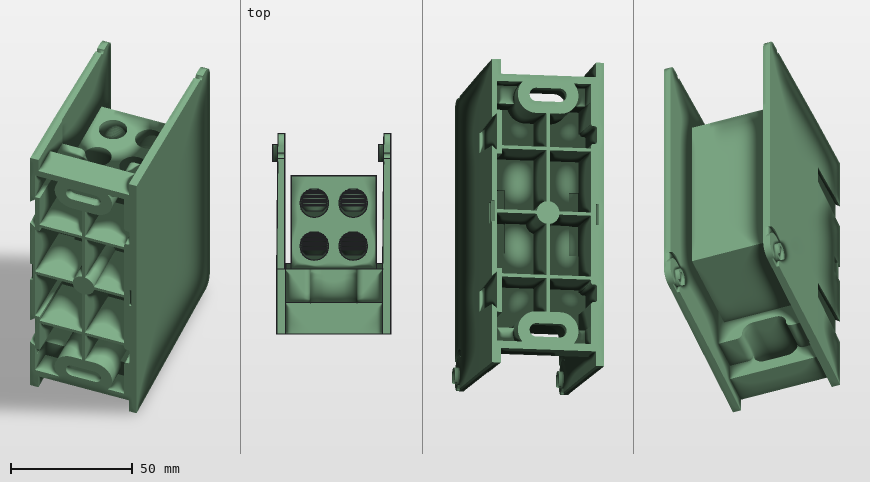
import cadquery as cq
import math

COS_45 = math.sqrt(0.5)

WALL_X = 23.5
BASE_HALF_Z = 63.5
END_HALF_Z = 57.4
BASE_Y = 26.8
FLANGE_Y = 13.0
PLATFORM_HALF_Z = 49.8
FLOOR = 2.8
END_WALL = 3.0
BASE_WALL = 3.7
EDGE_SLOPE = 0.033

CELL_LEFT = -21.3
CELL_RIGHT = 18.0
CELL_DRAFT = 0.6
RIB_HALF = 0.7
RIB_HALF_AT_FLOOR = 1.5
CROSS_RIB_Z = 26.8
LEDGE_Z = 46.9
POST_D = 9.5
BLIND_X = 13.3
BLIND_HALF_Z = 13.2
BLIND_DEPTH = 1.3

SLOT_Z = 49.3
SLOT_R = 2.8
SLOT_DEPTH = 3.8
SLOT_CENTRE_X = 5.0
BOSS_R = 7.7
HEAD_R = 9.5 / 2
HEAD_ROUND = 2.4
HEAD_HALF_X = 9.7

JOINT_X = 20.1
WALL_T = WALL_X - JOINT_X
DOVETAIL_Z = 33.1
DOVETAIL_DEPTH = 2.0
DOVETAIL_NECK = 11.8 / 2
DOVETAIL_FLARE = 1.8
DOVETAIL_TAPER = 1.8
PAD_X = -19.3
PAD_HALF_Z = 9.1
HOLLOW_X = 20.5
HOLLOW_MOUTH = 4.6
HOLLOW_ROUND = 0.9
SNAP_HALF_Z = 8.8 / 2
SNAP_DEPTH = 1.1
SNAP_LOW_Y = 1.8
SNAP_Y = (2.8, 5.1, 6.9)

TOP_Y = 82.5
WALL_LEAN = 0.5
CORNER_R = 5.0
NOTCH_Y = 73.4
NOTCH_R = 1.1
HINGE_Y = 74.4
HINGE_Z = -55.5
HINGE_D = 7.1
HINGE_HOLE_D = 4.1
HINGE_HEIGHT = 1.7
HINGE_SLOT_W = 5.0
HINGE_SLOT_DEPTH = 1.5
HINGE_HOLE_DEPTH = 1.8
HINGE_GATE_DEPTH = 1.3
TRACK_R = 22.2 / 2
TRACK_W = 2.7
TRACK_DEPTH = 1.5
TRACK_MOUTH_DEPTH = 2.4
TRACK_MOUTH_Y = 81.2
TRACK_END = 120.0

BLOCK_HALF_X = 17.5
BLOCK_TOP = 65.2
BLOCK_HALF_Z = 38.4
PAD_HEIGHT = 2.3
WIRE_X = 8.0
WIRE_D = 11.7
WIRE_BELOW_SCREW = 1.3
SCREW_D = 10.8
SCREW_ROOT_D = 9.5
SCREW_TIP_D = 6.9
THREAD_PITCH = 0.93
ROWS = ((53.9, 50.7, 30.0), (36.2, 32.5, 12.7))


def box(x0, x1, y0, y1, z0, z1):
    return cq.Workplane("XY").box(x1 - x0, y1 - y0, z1 - z0, centered=False).translate((x0, y0, z0))


def stadium(radius, centre_x, z, y0, y1):
    """Slot-shaped prism along Y with round ends centred at +/-centre_x."""
    return (
        cq.Workplane("XZ", origin=(0, y0, z))
        .slot2D(2 * (centre_x + radius), 2 * radius)
        .extrude(-(y1 - y0))
    )


def dovetail(neck_x, z):
    """Dovetail widening toward +X and narrowing from the mounting face upward."""
    def profile(neck):
        flare = neck + DOVETAIL_FLARE
        tip_x = neck_x + DOVETAIL_DEPTH
        return [(neck_x, z - neck), (tip_x, z - flare), (tip_x, z + flare), (neck_x, z + neck)]

    return (
        cq.Workplane("XZ")
        .polyline(profile(DOVETAIL_NECK)).close()
        .workplane(offset=-BASE_Y)
        .polyline(profile(DOVETAIL_NECK - DOVETAIL_TAPER)).close()
        .loft(ruled=True)
    )


def dovetails(x):
    """Pair of dovetails that reach from the plane at x toward +X."""
    return dovetail(x, DOVETAIL_Z).union(dovetail(x, -DOVETAIL_Z))


def snap_recess(x):
    """Ramp at the mounting face and a ramped pocket above it, sunk from the plane at x toward +X."""
    deep = x + SNAP_DEPTH
    step, ramp, mouth = SNAP_Y
    return (
        cq.Workplane("XY", origin=(0, 0, -SNAP_HALF_Z))
        .polyline([(x, 0), (deep, 0), (x, SNAP_LOW_Y)]).close()
        .polyline([(x, step), (deep, step), (deep, ramp), (x, mouth)]).close()
        .extrude(2 * SNAP_HALF_Z)
    )


def wall_edge(y):
    """Half length of a side wall at height y."""
    return BASE_HALF_Z - EDGE_SLOPE * y


def cell(side, floor_y, z0, z1):
    """Hollow cell between the centre rib and one side, drafted in X."""
    outer = CELL_LEFT if side < 0 else CELL_RIGHT
    outline = [
        (side * RIB_HALF, 0),
        (outer, 0),
        (outer - side * CELL_DRAFT, floor_y),
        (side * RIB_HALF_AT_FLOOR, floor_y),
    ]
    return cq.Workplane("XY", origin=(0, 0, z0)).polyline(outline).close().extrude(z1 - z0)


def underside():
    """Everything that is hollowed out of the base from the mounting face."""
    floor_y = BASE_Y - FLOOR
    end_z = END_HALF_Z - END_WALL
    bays = (
        (RIB_HALF, CROSS_RIB_Z - RIB_HALF, floor_y),
        (CROSS_RIB_Z + RIB_HALF, LEDGE_Z, floor_y),
        (LEDGE_Z, end_z, FLANGE_Y - FLOOR),
    )
    hollow = cq.Workplane("XY")
    for side in (-1, 1):
        for z0, z1, depth in bays:
            hollow = hollow.union(cell(side, depth, z0, z1)).union(cell(side, depth, -z1, -z0))
    for end in (-1, 1):
        z = end * DOVETAIL_Z
        hollow = hollow.cut(stadium(BOSS_R, SLOT_CENTRE_X, end * SLOT_Z, 0, BASE_Y))
        hollow = hollow.cut(socket_pad(z))
        hollow = hollow.union(tongue_hollow(z))
    for side, outer in ((-1, CELL_LEFT + CELL_DRAFT), (1, CELL_RIGHT - CELL_DRAFT)):
        x0, x1 = sorted((side * BLIND_X, outer))
        for z0, z1 in ((-BLIND_HALF_Z, -RIB_HALF), (RIB_HALF, BLIND_HALF_Z)):
            hollow = hollow.union(box(x0, x1, floor_y, floor_y + BLIND_DEPTH, z0, z1))
    post = cq.Workplane("XZ").circle(POST_D / 2).extrude(-BASE_Y)
    return hollow.cut(post)


def socket_pad(z):
    """Drafted thickening of the left wall behind a dovetail socket."""
    outline = [(CELL_LEFT, 0), (PAD_X, 0), (PAD_X + CELL_DRAFT, BASE_Y), (CELL_LEFT, BASE_Y)]
    pad = cq.Workplane("XY", origin=(0, 0, z - PAD_HALF_Z)).polyline(outline).close()
    return pad.extrude(2 * PAD_HALF_Z)


def tongue_hollow(z):
    """Hollow inside a dovetail tongue, flared by a rounded S on each flank."""
    inner = CELL_RIGHT - CELL_DRAFT
    r = HOLLOW_ROUND
    k = r * COS_45
    waist = HOLLOW_MOUTH - r
    bottom = waist - r
    return (
        cq.Workplane("XZ", origin=(0, 0, z))
        .moveTo(inner, -HOLLOW_MOUTH)
        .lineTo(CELL_RIGHT, -HOLLOW_MOUTH)
        .threePointArc((CELL_RIGHT + r - k, -HOLLOW_MOUTH + k), (CELL_RIGHT + r, -waist))
        .lineTo(HOLLOW_X - r, -waist)
        .threePointArc((HOLLOW_X - r + k, -bottom - k), (HOLLOW_X, -bottom))
        .lineTo(HOLLOW_X, bottom)
        .threePointArc((HOLLOW_X - r + k, bottom + k), (HOLLOW_X - r, waist))
        .lineTo(CELL_RIGHT + r, waist)
        .threePointArc((CELL_RIGHT + r - k, HOLLOW_MOUTH - k), (CELL_RIGHT, HOLLOW_MOUTH))
        .lineTo(inner, HOLLOW_MOUTH)
        .close()
        .extrude(-(BASE_Y - FLOOR))
    )


def head_recess():
    """Screw head recess at the +Z end of the platform: rounded mouth, round inner corners."""
    mouth_x = HEAD_HALF_X + HEAD_ROUND
    flat_x = HEAD_HALF_X - HEAD_R
    neck_z = PLATFORM_HALF_Z - HEAD_ROUND
    back_z = neck_z - HEAD_R
    round_mid = (mouth_x - HEAD_ROUND * COS_45, neck_z + HEAD_ROUND * COS_45)
    corner_mid = (flat_x + HEAD_R * COS_45, neck_z - HEAD_R * COS_45)
    return (
        cq.Workplane("XZ", origin=(0, FLANGE_Y, 0))
        .moveTo(-mouth_x, PLATFORM_HALF_Z)
        .threePointArc((-round_mid[0], round_mid[1]), (-HEAD_HALF_X, neck_z))
        .threePointArc((-corner_mid[0], corner_mid[1]), (-flat_x, back_z))
        .lineTo(flat_x, back_z)
        .threePointArc(corner_mid, (HEAD_HALF_X, neck_z))
        .threePointArc(round_mid, (mouth_x, PLATFORM_HALF_Z))
        .close()
        .extrude(-(BASE_Y - FLANGE_Y))
    )


def make_base():
    """Hollow base with its left side wall, mounting flanges, platform and dovetail tongues."""
    inner_x = BASE_WALL - WALL_X
    edge = wall_edge(BASE_Y)
    body = (
        cq.Workplane("YZ", origin=(-WALL_X, 0, 0))
        .polyline([(0, -BASE_HALF_Z), (BASE_Y, -edge), (BASE_Y, edge), (0, BASE_HALF_Z)]).close()
        .extrude(BASE_WALL)
    )
    body = body.union(box(inner_x, JOINT_X, 0, FLANGE_Y, -END_HALF_Z, END_HALF_Z))
    body = body.union(box(inner_x, JOINT_X, 0, BASE_Y, -PLATFORM_HALF_Z, PLATFORM_HALF_Z))
    body = body.union(dovetails(JOINT_X))
    body = body.cut(dovetails(-WALL_X)).cut(snap_recess(-WALL_X)).cut(underside())
    head_x = HEAD_HALF_X - HEAD_R
    head_z = PLATFORM_HALF_Z - HEAD_ROUND
    recess = head_recess()
    body = body.cut(recess).cut(recess.mirror("XY"))
    for end in (-1, 1):
        body = body.cut(stadium(SLOT_R, SLOT_CENTRE_X, end * SLOT_Z, 0, SLOT_DEPTH))
        body = body.cut(stadium(HEAD_R, head_x, end * head_z, SLOT_DEPTH, FLANGE_Y))
    pad_top = BASE_Y + PAD_HEIGHT
    body = body.union(box(inner_x, -BLOCK_HALF_X, BASE_Y, pad_top, -BLIND_HALF_Z, BLIND_HALF_Z))
    return body.union(box(BLOCK_HALF_X, JOINT_X, BASE_Y, pad_top, -BLIND_HALF_Z, BLIND_HALF_Z))


def wall_outline(x):
    """Full-height slab: leaning ends, rounded top corners and one latch notch."""
    tangent_y = TOP_Y - CORNER_R
    edge = wall_edge(NOTCH_Y)
    arc_z = edge - CORNER_R
    slab = (
        cq.Workplane("YZ", origin=(x, 0, 0))
        .moveTo(0, -BASE_HALF_Z)
        .lineTo(NOTCH_Y, -edge)
        .lineTo(tangent_y, -edge)
        .threePointArc((tangent_y + CORNER_R * COS_45, -arc_z - CORNER_R * COS_45), (TOP_Y, -arc_z))
        .lineTo(TOP_Y, arc_z)
        .threePointArc((tangent_y + CORNER_R * COS_45, arc_z + CORNER_R * COS_45), (tangent_y, edge))
        .lineTo(NOTCH_Y, edge)
        .lineTo(0, BASE_HALF_Z)
        .close()
        .extrude(WALL_T)
    )
    notch = cq.Workplane("YZ", origin=(x, NOTCH_Y, edge)).circle(NOTCH_R).extrude(WALL_T)
    lean = (
        cq.Workplane("XY", origin=(0, 0, -BASE_HALF_Z))
        .polyline([(x, BASE_Y), (x + WALL_LEAN, TOP_Y), (x, TOP_Y)]).close()
        .extrude(2 * BASE_HALF_Z)
    )
    return slab.cut(notch).cut(lean)


def hinge_track(x):
    """Arc groove about the hinge: one round end, the other running out at the wall's top edge."""
    path_r = TRACK_R - TRACK_W / 2
    inner_r = TRACK_R - TRACK_W

    def point(radius, degrees):
        angle = math.radians(degrees)
        return (radius * math.cos(angle), radius * math.sin(angle))

    plane = cq.Workplane("YZ", origin=(x, HINGE_Y, HINGE_Z))
    groove = (
        plane.moveTo(TRACK_R, 0)
        .threePointArc(point(TRACK_R, TRACK_END / 2), point(TRACK_R, TRACK_END))
        .lineTo(*point(inner_r, TRACK_END))
        .threePointArc(point(inner_r, TRACK_END / 2), (inner_r, 0))
        .close()
        .extrude(TRACK_MOUTH_DEPTH)
    )
    end = plane.pushPoints([point(path_r, TRACK_END)]).circle(TRACK_W / 2).extrude(TRACK_DEPTH)
    depth_limit = (
        cq.Workplane("XY", origin=(0, 0, HINGE_Z - TRACK_R))
        .moveTo(x, BASE_Y)
        .lineTo(x + TRACK_DEPTH, BASE_Y)
        .lineTo(x + TRACK_DEPTH, TRACK_MOUTH_Y)
        .lineTo(x + TRACK_MOUTH_DEPTH, TOP_Y)
        .lineTo(x + TRACK_MOUTH_DEPTH, HINGE_Y + TRACK_R)
        .lineTo(x, HINGE_Y + TRACK_R)
        .close()
        .extrude(2 * TRACK_R)
    )
    return groove.intersect(depth_limit).union(end)


def make_side_wall(x):
    """Plain full-height side wall; x is the plane of its -X face at the seating plane."""
    wall = wall_outline(x)
    hinge = cq.Workplane("YZ", origin=(x - HINGE_HEIGHT, HINGE_Y, HINGE_Z))
    boss = hinge.circle(HINGE_D / 2).extrude(HINGE_HEIGHT + WALL_T / 2)
    hole = hinge.circle(HINGE_HOLE_D / 2).extrude(HINGE_HEIGHT + HINGE_HOLE_DEPTH)
    slot_r = HINGE_SLOT_W / 2
    slot = box(x, x + HINGE_SLOT_DEPTH, HINGE_Y - slot_r, HINGE_Y + slot_r, -BASE_HALF_Z, HINGE_Z)
    gate_r = HINGE_HOLE_D / 2
    gate_x = x - HINGE_HEIGHT
    gate = box(
        gate_x, gate_x + HINGE_GATE_DEPTH,
        HINGE_Y - gate_r, HINGE_Y + gate_r,
        HINGE_Z - HINGE_D, HINGE_Z,
    )
    return wall.cut(slot).union(boss).cut(hole).cut(gate).cut(hinge_track(x))


def make_left_wall():
    """Side wall that stands on the side of the base, above the seating plane."""
    x = -WALL_X
    below = box(x, x + WALL_T, 0, BASE_Y, -BASE_HALF_Z, BASE_HALF_Z)
    return make_side_wall(x).cut(below)


def make_right_wall():
    """Full-height wall with sockets for the dovetails of the base and its own snap recess."""
    return make_side_wall(JOINT_X).cut(dovetails(JOINT_X)).cut(snap_recess(JOINT_X))


def make_block():
    """Terminal block with four blind wire holes from +Z, each crossed by a tapped hole from +Y."""
    block = box(-BLOCK_HALF_X, BLOCK_HALF_X, BASE_Y, BLOCK_TOP, -BLOCK_HALF_Z, BLOCK_HALF_Z)
    for hole_y, tip_y, screw_z in ROWS:
        bottom_z = screw_z - SCREW_D / 2 - WIRE_BELOW_SCREW
        for x in (-WIRE_X, WIRE_X):
            wire = (
                cq.Workplane("XY", origin=(x, hole_y, bottom_z))
                .circle(WIRE_D / 2)
                .extrude(BLOCK_HALF_Z - bottom_z)
            )
            tapped = (
                cq.Workplane("XZ", origin=(x, tip_y, screw_z))
                .circle(SCREW_D / 2)
                .extrude(tip_y - BLOCK_TOP)
            )
            block = block.cut(wire).cut(tapped)
    return block


def make_screw(x, tip_y, z):
    """Headless clamp screw, flush with the block top: blunt conical tip and ring-shaped thread."""
    crest_r = SCREW_D / 2
    root_r = SCREW_ROOT_D / 2
    tip_r = SCREW_TIP_D / 2
    length = BLOCK_TOP - tip_y
    y = crest_r - tip_r
    outline = [(0, 0), (tip_r, 0), (crest_r, y)]
    while y + THREAD_PITCH < length:
        outline.append((root_r, y + THREAD_PITCH / 2))
        outline.append((crest_r, y + THREAD_PITCH))
        y += THREAD_PITCH
    outline += [(crest_r, length), (0, length)]
    screw = cq.Workplane("XY").polyline(outline).close().revolve(360, (0, 0, 0), (0, 1, 0))
    return screw.translate((x, tip_y, z))


base = make_base()
left_wall = make_left_wall()
right_wall = make_right_wall()
block = make_block()
screws = []
for _, tip_y, screw_z in ROWS:
    for x in (-WIRE_X, WIRE_X):
        screws.append(make_screw(x, tip_y, screw_z).val())

result = cq.Compound.makeCompound(
    [base.val(), left_wall.val(), right_wall.val(), block.val(), *screws]
)